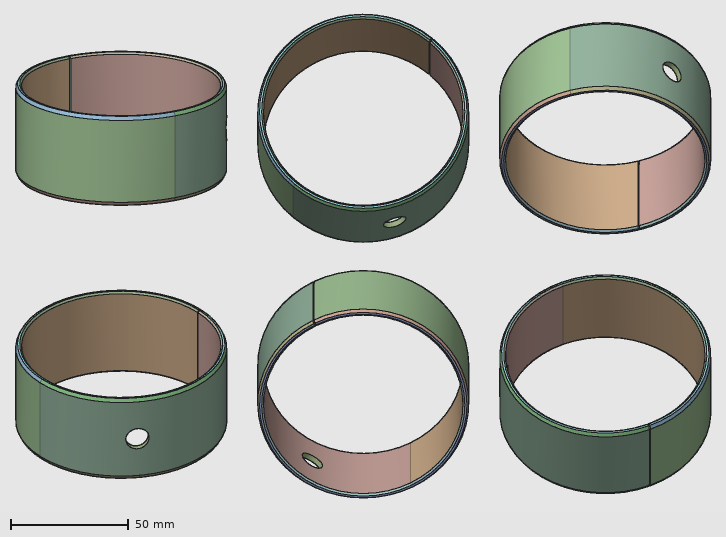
import cadquery as cq

outer_diameter = 90.0
wall = 2.5
height = 40.0
outer_chamfer_width = 0.8
outer_chamfer_height = 1.6
inner_chamfer = 0.8
slit_width = 0.6
hole_diameter = 10.0
hole_angle = 59.0

outer_radius = outer_diameter / 2
inner_radius = outer_radius - wall
half_height = height / 2


def bushing_wall():
    """Revolve the wall section, chamfered inside and outside at both ends."""
    section = (
        cq.Workplane("XZ")
        .moveTo(inner_radius, half_height - inner_chamfer)
        .lineTo(inner_radius + inner_chamfer, half_height)
        .lineTo(outer_radius - outer_chamfer_width, half_height)
        .lineTo(outer_radius, half_height - outer_chamfer_height)
        .lineTo(outer_radius, -half_height + outer_chamfer_height)
        .lineTo(outer_radius - outer_chamfer_width, -half_height)
        .lineTo(inner_radius + inner_chamfer, -half_height)
        .lineTo(inner_radius, -half_height + inner_chamfer)
        .close()
    )
    return section.revolve(360, (0, 0, 0), (0, 1, 0))


def slit():
    """Full-height gap through the wall on the -X side."""
    return cq.Workplane("XY").box(outer_radius, slit_width, height).translate((-outer_radius, 0, 0))


def oil_hole():
    """Radial cylinder running from the axis out through one side of the wall."""
    cylinder = cq.Workplane("YZ").circle(hole_diameter / 2).extrude(outer_diameter)
    return cylinder.rotate((0, 0, 0), (0, 0, 1), hole_angle)


result = bushing_wall().cut(slit()).cut(oil_hole())